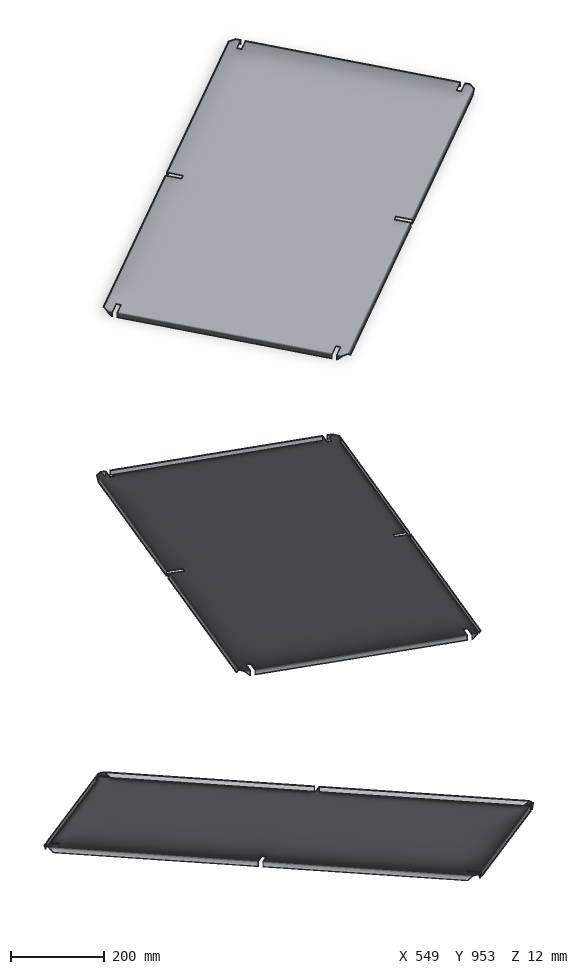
import cadquery as cq

WIDTH = 549.0
LENGTH = 953.0
HEIGHT = 12.0

CORNER = (-WIDTH / 2, -LENGTH / 2, 0)

SHEET = 1.7
BEND_OUTER = 2.0
BEND_INNER = BEND_OUTER - SHEET

CORNER_CUT = 12.0

MITRE_HEIGHT = HEIGHT - SHEET

SLOT_WIDTH = 10.5
END_SLOT_DEPTH = 30.0
END_SLOT_INSET = 30.0
SIDE_SLOT_DEPTH = 37.0


def rounded_block(width, length, height, top_radius):
    """Block standing on Z = 0 with its top edges rounded."""
    block = cq.Workplane("XY").box(width, length, height, centered=(True, True, False))
    return block.faces(">Z").edges().fillet(top_radius)


def tray():
    """Thin open-bottomed tray with bent edges."""
    outer = rounded_block(WIDTH, LENGTH, HEIGHT, BEND_OUTER)
    inner = rounded_block(WIDTH - 2 * SHEET, LENGTH - 2 * SHEET, HEIGHT - SHEET, BEND_INNER)
    return outer.cut(inner)


def corner_relief():
    """Cutter for the -X, -Y corner: square notches across the bends, diagonal across the panel."""
    outline = [
        (0, 0),
        (CORNER_CUT, 0),
        (CORNER_CUT, BEND_OUTER),
        (BEND_OUTER, CORNER_CUT),
        (0, CORNER_CUT),
    ]
    return cq.Workplane("XY", origin=CORNER).polyline(outline).close().extrude(HEIGHT)


def flange_mitres():
    """Cutter for the two flange ends at the -X, -Y corner, sloping at 45 degrees."""
    triangle = [(CORNER_CUT, 0), (CORNER_CUT + MITRE_HEIGHT, 0), (CORNER_CUT, MITRE_HEIGHT)]
    end_flange = cq.Workplane("XZ", origin=CORNER).polyline(triangle).close().extrude(-BEND_OUTER)
    side_flange = cq.Workplane("YZ", origin=CORNER).polyline(triangle).close().extrude(BEND_OUTER)
    return end_flange.union(side_flange)


def end_slot():
    """Cutter for the slot near the -X, -Y corner, open through the -Y flange."""
    start = (END_SLOT_INSET - WIDTH / 2, (END_SLOT_DEPTH - LENGTH) / 2)
    return cq.Workplane("XY").center(*start).rect(SLOT_WIDTH, END_SLOT_DEPTH).extrude(HEIGHT)


def side_slot():
    """Cutter for the slot halfway along the -X side, open through its flange."""
    middle_x = (SIDE_SLOT_DEPTH - WIDTH) / 2
    return cq.Workplane("XY").center(middle_x, 0).rect(SIDE_SLOT_DEPTH, SLOT_WIDTH).extrude(HEIGHT)


result = tray()

for feature in (corner_relief(), flange_mitres(), end_slot()):
    other_end = feature.mirror("XZ")
    for cutter in (feature, other_end):
        result = result.cut(cutter).cut(cutter.mirror("YZ"))

result = result.cut(side_slot()).cut(side_slot().mirror("YZ"))